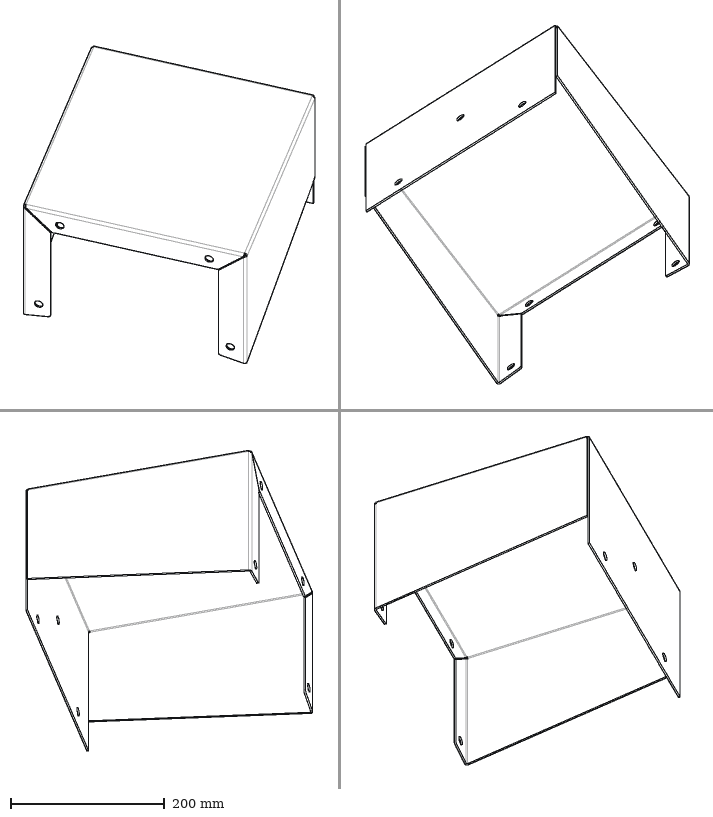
import cadquery as cq
import math

width = 304.8
depth = 304.8
height = 203.3
thickness = 2.5
bend_radius = 3.7
side_back_height = 152.5
lip_width = 38.0
lip_bottom_slope = 10.0
lip_corner_radius = 3.7
miter_gap = 1.5
corner_gap = 0.3

hole_diameter = 11.3
lip_hole_inset = 22.0
lip_hole_spacing = 203.3
low_hole_height = 25.3
back_hole_spacing = 196.3
back_center_hole_height = height / 2

half_width = width / 2
half_depth = depth / 2
inner_radius = bend_radius - thickness
side_rear = half_depth - thickness
back_half_width = half_width - thickness - corner_gap


def box(x0, x1, y0, y1, z0, z1):
    return cq.Workplane("XY").box(x1 - x0, y1 - y0, z1 - z0, centered=False).translate((x0, y0, z0))


def front_prism(sketch_points, y0, y1):
    """Extrude an XZ outline from y0 to y1."""
    return cq.Workplane("XZ", origin=(0, y1, 0)).polyline(sketch_points).close().extrude(y1 - y0)


def folded_shell():
    """Thin walls on the top, sides, front and back, with rounded folds and an open bottom."""
    outer = box(-half_width, half_width, -half_depth, half_depth, 0, height)
    outer = outer.edges("|Y and >Z").fillet(bend_radius)
    front_back = (
        cq.Workplane("YZ", origin=(-half_width, 0, 0))
        .rect(depth, 2 * height)
        .extrude(width)
        .edges("|X and >Z")
        .fillet(bend_radius)
    )
    plan = box(-half_width, half_width, -half_depth, half_depth, 0, height)
    plan = plan.edges("|Z and <Y").fillet(bend_radius)
    outer = outer.intersect(front_back).intersect(plan)

    def cavity_block():
        return box(
            thickness - half_width, half_width - thickness,
            thickness - half_depth, half_depth - thickness,
            0, height - thickness,
        )

    cavity = cavity_block().edges("|Y and >Z").fillet(inner_radius)
    cavity = cavity.intersect(cavity_block().edges("|X and >Z").fillet(inner_radius))
    cavity = cavity.intersect(cavity_block().edges("|Z and <Y").fillet(inner_radius))
    return outer.cut(cavity)


def front_opening():
    """Opening between the lips, including the sloping ends of the side lips."""
    edge = half_width - lip_width
    fold = half_width - bend_radius
    rise = (fold - edge) * math.tan(math.radians(lip_bottom_slope))
    outline = [
        (-fold, 0), (-edge, rise), (-edge, height - lip_width),
        (edge, height - lip_width), (edge, rise), (fold, 0),
    ]
    cutter = front_prism(outline, -half_depth, bend_radius - half_depth)
    lip_corners = cq.selectors.BoxSelector(
        (-fold, -depth, rise / 2), (fold, 0, 2 * rise)
    )
    return cutter.edges("|Y").edges(lip_corners).fillet(lip_corner_radius)


def miter_slit(side):
    """45 degree slit between the top lip and one side lip, open at the outer corner."""
    offset = miter_gap / math.sqrt(2)
    reach = lip_width + offset
    points = [(0, offset), (0, -offset), (reach, -reach - offset), (reach, offset - reach)]
    outline = [(side * (half_width - inset), height + drop) for inset, drop in points]
    return front_prism(outline, -half_depth, bend_radius - half_depth)


def side_slope(side):
    """Wedge below a side wall that rises from the front fold to the rear."""
    outline = [(bend_radius - half_depth, 0), (half_depth, 0), (half_depth, height - side_back_height),
               (side_rear, height - side_back_height)]
    wedge = cq.Workplane("YZ").polyline(outline).close().extrude(2 * thickness, both=True)
    wedge = wedge.translate((side * half_width, 0, 0))
    back = box(-back_half_width, back_half_width, side_rear, half_depth, 0, height)
    return wedge.cut(back)


def rear_corner(side):
    """Open vertical joint between a side wall and the back panel."""
    near, far = sorted((side * back_half_width, side * half_width))
    return box(near, far, side_rear, half_depth, 0, height)


def corner_relief(side, end):
    """Clear the small square where two top folds would run into each other."""
    y0, y1 = sorted((end * (half_depth - bend_radius), end * half_depth))
    x0, x1 = sorted((side * (half_width - bend_radius), side * half_width))
    if end > 0:
        x0, x1 = sorted((side * back_half_width, side * half_width))
    return box(x0, x1, y0, y1, height - bend_radius, height)


def holes(centers, y0, y1):
    return (
        cq.Workplane("XZ", origin=(0, y1, 0))
        .pushPoints(centers)
        .circle(hole_diameter / 2)
        .extrude(y1 - y0)
    )


cover = folded_shell().cut(front_opening())
for side in (-1, 1):
    cover = cover.cut(miter_slit(side))
    cover = cover.cut(side_slope(side))
    cover = cover.cut(rear_corner(side))
    for end in (-1, 1):
        cover = cover.cut(corner_relief(side, end))

    lip_holes = [
        (side * lip_hole_spacing / 2, height - lip_hole_inset),
        (side * (half_width - lip_hole_inset), low_hole_height),
    ]
    cover = cover.cut(holes(lip_holes, -half_depth, bend_radius - half_depth))

back_holes = [
    (-back_hole_spacing / 2, low_hole_height),
    (back_hole_spacing / 2, low_hole_height),
    (0, back_center_hole_height),
]
cover = cover.cut(holes(back_holes, half_depth - bend_radius, half_depth))

result = cover